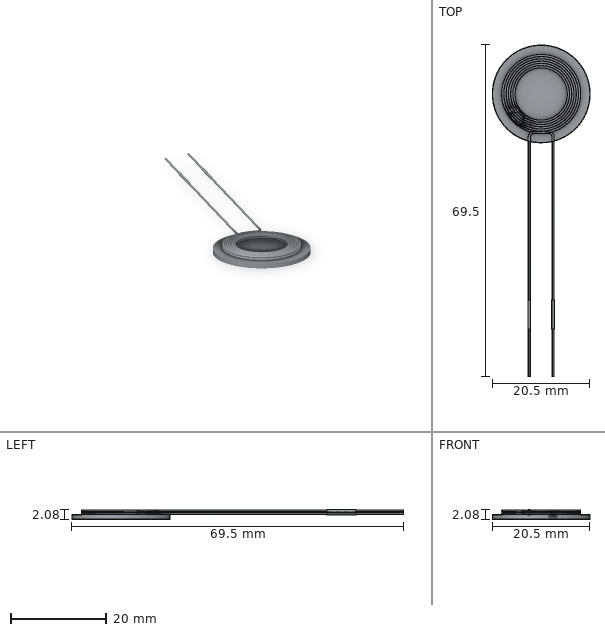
import cadquery as cq
import math

disc_diameter = 20.5
disc_thickness = 1.0

wire_diameter = 0.45
turn_pitch = 0.47
layer_pitch = 0.55
turns_per_layer = 6
outer_turn_radius = 8.05

overall_length = 69.5
lead_offset = 2.5
bend_radius = 1.0
thick_diameter = 0.61
thick_length = 6.05
bare_end_length = 10.0

lead_end_y = disc_diameter / 2 - overall_length
bend_end_y = -outer_turn_radius - bend_radius
lower_z = disc_thickness + wire_diameter / 2
upper_z = lower_z + layer_pitch
diagonal = math.sqrt(0.5)
turn_radii = [outer_turn_radius - i * turn_pitch for i in range(turns_per_layer)]


def make_disc():
    return cq.Workplane("XY").circle(disc_diameter / 2).extrude(disc_thickness)


def quarter_turn(start_radius, end_radius, z):
    """Counterclockwise quarter from the -X axis to the -Y axis, changing radius on the way."""
    return cq.Edge.makeEllipse(
        start_radius, end_radius, cq.Vector(0, 0, z), angle1=180, angle2=270, sense=1
    )


def three_quarter_turn(radius, z):
    """Counterclockwise arc of constant radius from the -Y axis round to the -X axis."""
    side = radius * diagonal
    return cq.Edge.makeThreePointArc(
        cq.Vector(0, -radius, z), cq.Vector(side, side, z), cq.Vector(-radius, 0, z)
    )


def layer_edges(radii, z):
    """Turns of one layer in winding order, each joined to the next by a quarter turn."""
    edges = []
    for radius, next_radius in zip(radii, radii[1:]):
        edges.append(three_quarter_turn(radius, z))
        edges.append(quarter_turn(radius, next_radius, z))
    edges.append(three_quarter_turn(radii[-1], z))
    return edges


def layer_change(radius):
    """Innermost quarter turn, going down from the upper to the lower layer."""
    side = radius * diagonal
    points = [
        cq.Vector(-radius, 0, upper_z),
        cq.Vector(-side, -side, (upper_z + lower_z) / 2),
        cq.Vector(0, -radius, lower_z),
    ]
    return cq.Edge.makeSpline(points, tangents=[cq.Vector(0, -1, 0), cq.Vector(1, 0, 0)])


def lead_points(side, z):
    """Corner points from the free end of a lead to the -Y axis; side is -1 or 1 along X."""
    lead_x = side * lead_offset
    bend_x = side * (lead_offset - bend_radius)
    bend_corner = bend_radius * diagonal
    return [
        cq.Vector(lead_x, lead_end_y, z),
        cq.Vector(lead_x, bend_end_y, z),
        cq.Vector(bend_x + side * bend_corner, bend_end_y + bend_corner, z),
        cq.Vector(bend_x, -outer_turn_radius, z),
        cq.Vector(0, -outer_turn_radius, z),
    ]


def line_bend_line(points):
    """Straight run, round bend through the three middle points, and second straight run."""
    first, bend_start, bend_middle, bend_end, last = points
    return [
        cq.Edge.makeLine(first, bend_start),
        cq.Edge.makeThreePointArc(bend_start, bend_middle, bend_end),
        cq.Edge.makeLine(bend_end, last),
    ]


def thick_section(side, z):
    """Thicker cylinder around one lead."""
    start = cq.Vector(side * lead_offset, lead_end_y + bare_end_length, z)
    return cq.Solid.makeCylinder(thick_diameter / 2, thick_length, start, cq.Vector(0, 1, 0))


def make_coil():
    path = cq.Wire.assembleEdges(
        [
            *line_bend_line(lead_points(-1, upper_z)),
            *layer_edges(turn_radii, upper_z),
            layer_change(turn_radii[-1]),
            *layer_edges(turn_radii[::-1], lower_z),
            quarter_turn(outer_turn_radius, outer_turn_radius, lower_z),
            *line_bend_line(lead_points(1, lower_z)[::-1]),
        ]
    )
    start_plane = cq.Plane(
        origin=(-lead_offset, lead_end_y, upper_z), xDir=(1, 0, 0), normal=(0, 1, 0)
    )
    wire = cq.Workplane(start_plane).circle(wire_diameter / 2).sweep(path)
    for side, z in ((-1, upper_z), (1, lower_z)):
        wire = wire.union(cq.Workplane(obj=thick_section(side, z)))
    return wire.solids()


disc = make_disc()
coil = make_coil()

result = cq.Compound.makeCompound([disc.val(), coil.val()])